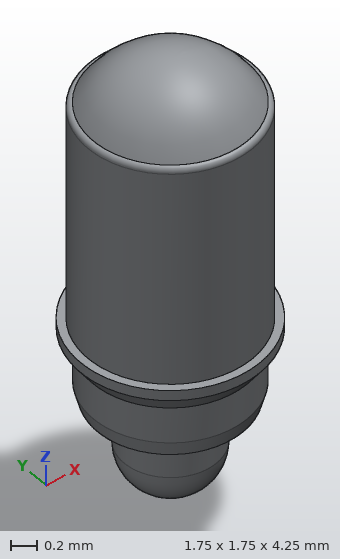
import cadquery as cq
import math

PLUNGER_RADIUS = 0.45
TAIL_RADIUS = 0.75
FLANGE_RADIUS = 0.875
BODY_RADIUS = 0.8
BODY_EDGE_FILLET = 0.05

TAIL_BOTTOM_Z = 0.9
LEAD_IN_HEIGHT = 0.15
TAIL_TOP_Z = 1.4
FLANGE_RIM_HEIGHT = 0.1
BODY_TOP_Z = 3.83
OVERALL_HEIGHT = 4.25

LEAD_IN_ANGLE = math.radians(15)
FLANGE_CONE_ANGLE = math.radians(35)

QUARTER_ARC_MIDDLE = math.radians(45)

lead_in_radius = TAIL_RADIUS - LEAD_IN_HEIGHT * math.tan(LEAD_IN_ANGLE)
lead_in_top_z = TAIL_BOTTOM_Z + LEAD_IN_HEIGHT
flange_rim_z = TAIL_TOP_Z + (FLANGE_RADIUS - TAIL_RADIUS) / math.tan(FLANGE_CONE_ANGLE)
flange_top_z = flange_rim_z + FLANGE_RIM_HEIGHT
body_edge_z = BODY_TOP_Z - BODY_EDGE_FILLET
dome_base_radius = BODY_RADIUS - BODY_EDGE_FILLET
dome_rise = OVERALL_HEIGHT - BODY_TOP_Z
dome_radius = (dome_base_radius**2 + dome_rise**2) / (2 * dome_rise)
dome_center_z = OVERALL_HEIGHT - dome_radius
dome_start_angle = math.acos(dome_base_radius / dome_radius)
dome_middle_angle = (dome_start_angle + math.pi / 2) / 2


def point_on_arc(center_r, center_z, radius, angle):
    """Return the (r, z) point of an arc at an angle above the radial direction."""
    return (center_r + radius * math.cos(angle), center_z + radius * math.sin(angle))


def make_pin():
    """Revolve the half profile, from the plunger tip up to the dome apex."""
    tip_middle = point_on_arc(0, PLUNGER_RADIUS, PLUNGER_RADIUS, -QUARTER_ARC_MIDDLE)
    fillet_middle = point_on_arc(dome_base_radius, body_edge_z, BODY_EDGE_FILLET, QUARTER_ARC_MIDDLE)
    dome_middle = point_on_arc(0, dome_center_z, dome_radius, dome_middle_angle)

    profile = (
        cq.Workplane("XZ")
        .moveTo(0, 0)
        .threePointArc(tip_middle, (PLUNGER_RADIUS, PLUNGER_RADIUS))
        .lineTo(PLUNGER_RADIUS, TAIL_BOTTOM_Z)
        .lineTo(lead_in_radius, TAIL_BOTTOM_Z)
        .lineTo(TAIL_RADIUS, lead_in_top_z)
        .lineTo(TAIL_RADIUS, TAIL_TOP_Z)
        .lineTo(FLANGE_RADIUS, flange_rim_z)
        .lineTo(FLANGE_RADIUS, flange_top_z)
        .lineTo(BODY_RADIUS, flange_top_z)
        .lineTo(BODY_RADIUS, body_edge_z)
        .threePointArc(fillet_middle, (dome_base_radius, BODY_TOP_Z))
        .threePointArc(dome_middle, (0, OVERALL_HEIGHT))
        .close()
    )
    return profile.revolve(360, (0, 0, 0), (0, 1, 0))


result = make_pin()